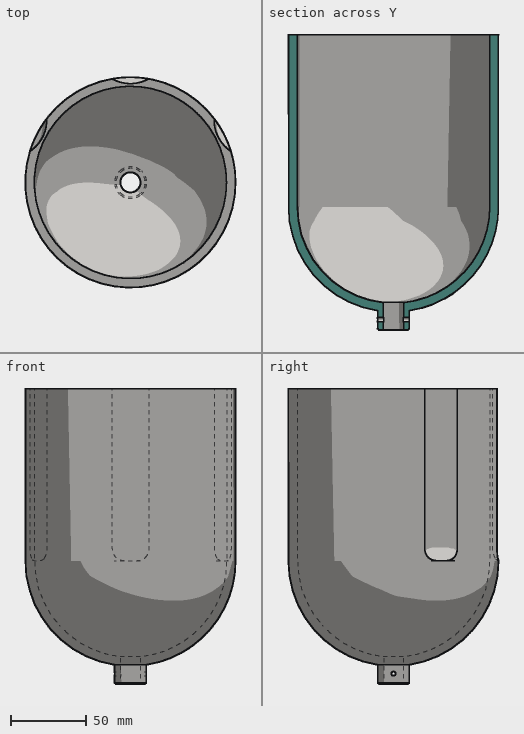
import cadquery as cq
import math

OUTER_DIAMETER = 139.7
INNER_DIAMETER = 127.57
TOTAL_HEIGHT = 196.15
CYLINDER_HEIGHT = 114.3

SPIGOT_DIAMETER = 21.2
SPIGOT_CHAMFER = 1.0
DRAIN_DIAMETER = 13.2
PIN_HOLE_DIAMETER = 2.7
PIN_HOLE_ABOVE_END = 7.0

GROOVE_RADIUS = 25.0
GROOVE_DEPTH = 4.3
GROOVE_END_INSET = 4.7
GROOVE_END_HEIGHT = 9.0
GROOVE_SPREAD = 62.75
GROOVE_ANGLES = [90 - GROOVE_SPREAD, 90, 90 + GROOVE_SPREAD]

outer_radius = OUTER_DIAMETER / 2
inner_radius = INNER_DIAMETER / 2
bottom_z = CYLINDER_HEIGHT - TOTAL_HEIGHT


def round_bottomed_solid(radius):
    """Cylinder of the given radius closed below Z = 0 by a hemisphere."""
    diagonal = radius * math.sqrt(0.5)
    profile = (
        cq.Workplane("XZ")
        .moveTo(0, -radius)
        .threePointArc((diagonal, -diagonal), (radius, 0))
        .lineTo(radius, CYLINDER_HEIGHT)
        .lineTo(0, CYLINDER_HEIGHT)
        .close()
    )
    return profile.revolve(360, (0, 0, 0), (0, 1, 0))


def upright_cylinder(diameter, z_start, z_end):
    """Cylinder on the Z axis between two heights."""
    return cq.Workplane("XY").workplane(offset=z_start).circle(diameter / 2).extrude(z_end - z_start)


def spigot():
    """Chamfered spigot, reaching up into the wall of the hemisphere."""
    blank = upright_cylinder(SPIGOT_DIAMETER, bottom_z, -(outer_radius + inner_radius) / 2)
    return blank.faces("<Z").chamfer(SPIGOT_CHAMFER)


def pin_hole():
    """Cross hole along X through both sides of the spigot."""
    return (
        cq.Workplane("YZ")
        .center(0, bottom_z + PIN_HOLE_ABOVE_END)
        .circle(PIN_HOLE_DIAMETER / 2)
        .extrude(SPIGOT_DIAMETER, both=True)
    )


def groove(angle):
    """Vertical groove cutter standing on Z = 0, its lower edge rounded by a quarter ellipse."""
    axis_distance = outer_radius - GROOVE_DEPTH + GROOVE_RADIUS
    profile = (
        cq.Workplane("XZ")
        .lineTo(GROOVE_RADIUS - GROOVE_END_INSET, 0)
        .ellipseArc(GROOVE_END_INSET, GROOVE_END_HEIGHT, 270, 360)
        .lineTo(GROOVE_RADIUS, CYLINDER_HEIGHT)
        .lineTo(0, CYLINDER_HEIGHT)
        .close()
    )
    cutter = profile.revolve(360, (0, 0, 0), (0, 1, 0))
    return cutter.translate((axis_distance, 0, 0)).rotate((0, 0, 0), (0, 0, 1), angle)


body = round_bottomed_solid(outer_radius).union(spigot())
for groove_angle in GROOVE_ANGLES:
    body = body.cut(groove(groove_angle))
body = body.cut(round_bottomed_solid(inner_radius))
body = body.cut(upright_cylinder(DRAIN_DIAMETER, bottom_z, 0))
result = body.cut(pin_hole())